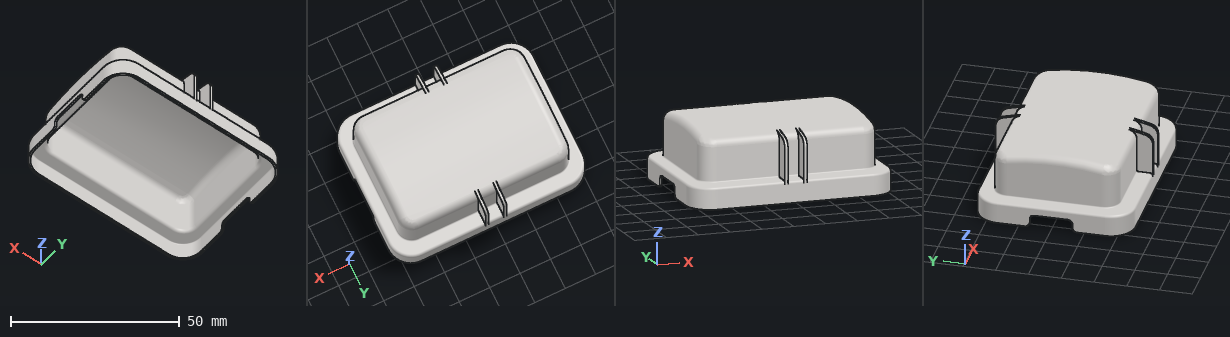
import cadquery as cq
import math

flange_length = 63.9
flange_width = 48.0
flange_height = 6.95
flange_corner_radius = 7.5
flange_edge_radius = 0.95

body_length = 55.7
body_width = 38.3
body_corner_radius = 4.7
roof_edge_radius = 3.0
foot_radius = 0.5
crown_height = 22.5
crown_radius = 83.1

wall = 0.65

rib_thickness = 1.0
rib_spacing = 6.0
rib_corner_radius = 3.0

notch_width = 13.05
notch_height = 3.95
notch_radius = 1.5


def rounded_block(length, width, height, corner_radius):
    """Upright block standing on Z = 0 with rounded vertical edges."""
    block = cq.Workplane("XY").box(length, width, height, centered=(True, True, False))
    return block.edges("|Z").fillet(corner_radius)


def crown_drop(y, radius):
    """Fall of the roof arc below its crest at distance y from the middle."""
    return radius - math.sqrt(radius**2 - y**2)


def crowned_slab(length, width, inset=0.0):
    """Slab from Z = 0 up to the roof arc, moved inward by inset."""
    half_width = width / 2
    crest = crown_height - inset
    shoulder = crest - crown_drop(half_width, crown_radius - inset)
    profile = (
        cq.Workplane("YZ")
        .moveTo(-half_width, 0)
        .lineTo(-half_width, shoulder)
        .threePointArc((0, crest), (half_width, shoulder))
        .lineTo(half_width, 0)
        .close()
    )
    return profile.extrude(length / 2, both=True)


def make_hood(inset):
    """Flange and crowned body, with every surface moved inward by inset."""
    flange = rounded_block(
        flange_length - 2 * inset,
        flange_width - 2 * inset,
        flange_height - inset,
        flange_corner_radius - inset,
    )
    flange = flange.faces(">Z").edges().fillet(flange_edge_radius - inset)
    body = crowned_slab(body_length - 2 * inset, body_width - 2 * inset, inset)
    body = body.edges("|Z").fillet(body_corner_radius - inset)
    body = body.faces(">Z").edges().fillet(roof_edge_radius - inset)
    hood = flange.union(body)

    top_of_flange = flange_height - inset
    foot = cq.selectors.BoxSelector(
        (-body_length / 2, -body_width / 2, top_of_flange - foot_radius / 2),
        (body_length / 2, body_width / 2, top_of_flange + foot_radius / 2),
    )
    return hood.edges(foot).fillet(foot_radius + inset)


def make_ribs():
    """Two plates across the width that form four ribs, flush with the roof arc and the flange faces."""
    ribs = crowned_slab(rib_thickness, flange_width)
    ribs = ribs.faces(">Z").edges("|X").fillet(rib_corner_radius)
    half_spacing = rib_spacing / 2
    left = ribs.translate((-half_spacing, 0, 0))
    right = ribs.translate((half_spacing, 0, 0))
    return left.union(right)


def make_notch():
    """Rounded notch along the whole length, flared at its open mouth."""
    half_width = notch_width / 2
    profile = (
        cq.Workplane("YZ")
        .moveTo(0, notch_height)
        .lineTo(half_width - notch_radius, notch_height)
        .tangentArcPoint((notch_radius, -notch_radius))
        .lineTo(half_width, notch_radius)
        .tangentArcPoint((notch_radius, -notch_radius))
        .lineTo(0, 0)
        .mirrorY()
    )
    return profile.extrude(flange_length / 2, both=True)


outside = make_hood(0.0).union(make_ribs())
cavity = make_hood(wall)
result = outside.cut(cavity).cut(make_notch())